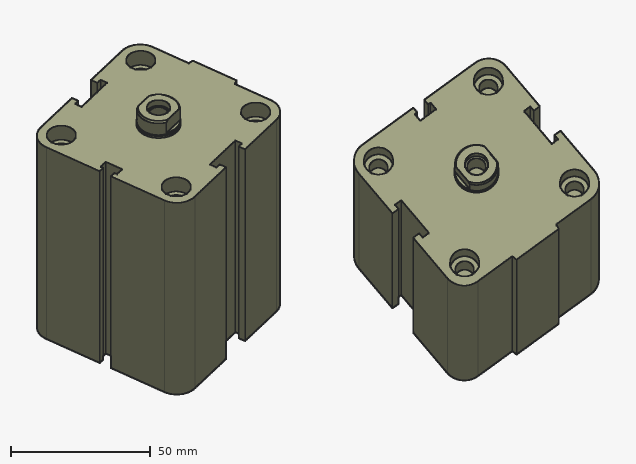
import cadquery as cq

overall_height = 98.0
housing_width = 67.0
housing_height = 90.5
corner_radius = 7.8
half_width = housing_width / 2

overall_depth = 69.0
rib_height = overall_depth - housing_width
rib_base_width = 20.0
rib_top_width = 19.2

side_slot_mouth = 12.0
side_slot_channel = 16.1
side_slot_lip = 2.7
side_slot_depth = 5.6
front_slot_mouth = 4.9
front_slot_channel = 7.2
front_slot_lip = 2.3
front_slot_depth = 5.5

mount_spacing = 50.0
mount_hole_diameter = 6.7
counterbore_diameter = 10.5
counterbore_depth = 6.7
mount_hole_depth = 14.7

rod_diameter = 16.0
rod_seat_depth = 14.7
rod_end_diameter = 15.6
rod_shoulder_height = 0.9
rod_shoulder_taper = 0.4
rod_tip_chamfer_height = 0.8
rod_tip_chamfer_width = 0.5
wrench_flat_width = 12.9
wrench_flat_height = 1.9

rod_hole_diameter = 6.7
rod_hole_depth = 11.8
rod_recess_diameter = 8.3
rod_recess_depth = 2.6

rod_base = housing_height - rod_seat_depth


def cylinder(diameter, bottom, top):
    """Vertical cylinder on the Z axis between two heights."""
    return cq.Workplane("XY").workplane(offset=bottom).circle(diameter / 2).extrude(top - bottom)


def t_slot(mouth, channel, lip, depth, angle):
    """Full-height T-slot cutter in the front (-Y) face, turned about Z by the angle."""
    face = -half_width
    return (
        cq.Workplane("XY")
        .polyline([
            (-mouth / 2, face),
            (-mouth / 2, face + lip),
            (-channel / 2, face + lip),
            (-channel / 2, face + depth),
            (channel / 2, face + depth),
            (channel / 2, face + lip),
            (mouth / 2, face + lip),
            (mouth / 2, face),
        ])
        .close()
        .extrude(housing_height)
        .rotate((0, 0, 0), (0, 0, 1), angle)
    )


def make_rib():
    """Trapezoidal rib that runs the full height of the back face."""
    return (
        cq.Workplane("XY")
        .polyline([
            (-rib_base_width / 2, half_width),
            (rib_base_width / 2, half_width),
            (rib_top_width / 2, half_width + rib_height),
            (-rib_top_width / 2, half_width + rib_height),
        ])
        .close()
        .extrude(housing_height)
    )


def make_housing():
    """Rounded square body with rib, T-slots, mounting holes and rod bore."""
    body = (
        cq.Workplane("XY")
        .rect(housing_width, housing_width)
        .extrude(housing_height)
        .edges("|Z")
        .fillet(corner_radius)
        .union(make_rib())
    )
    body = body.cut(t_slot(front_slot_mouth, front_slot_channel, front_slot_lip, front_slot_depth, 0))
    for angle in (-90, 90):
        body = body.cut(t_slot(side_slot_mouth, side_slot_channel, side_slot_lip, side_slot_depth, angle))
    body = (
        body.cut(cylinder(rod_diameter, rod_base, housing_height))
        .copyWorkplane(cq.Workplane("XY").workplane(offset=housing_height))
        .rect(mount_spacing, mount_spacing, forConstruction=True)
        .vertices()
        .cboreHole(mount_hole_diameter, counterbore_diameter, counterbore_depth, mount_hole_depth)
    )
    return body


def make_rod():
    """Turned rod with a chamfered tip, two wrench flats and a stepped end hole."""
    radius = rod_diameter / 2
    end_radius = rod_end_diameter / 2
    shoulder_top = housing_height + rod_shoulder_height
    rod = (
        cq.Workplane("XZ")
        .polyline([
            (0, rod_base),
            (radius, rod_base),
            (radius, shoulder_top),
            (end_radius, shoulder_top + rod_shoulder_taper),
            (end_radius, overall_height - rod_tip_chamfer_height),
            (end_radius - rod_tip_chamfer_width, overall_height),
            (0, overall_height),
        ])
        .close()
        .revolve(360, (0, 0, 0), (0, 1, 0))
    )

    flat_bottom = housing_height + wrench_flat_height
    flat_cut_center = wrench_flat_width / 2 + radius
    for side in (-1, 1):
        flat_cutter = (
            cq.Workplane("XY")
            .workplane(offset=flat_bottom)
            .center(side * flat_cut_center, 0)
            .rect(rod_diameter, rod_diameter)
            .extrude(overall_height - flat_bottom)
        )
        rod = rod.cut(flat_cutter)

    rod = rod.cut(cylinder(rod_hole_diameter, overall_height - rod_hole_depth, overall_height))
    rod = rod.cut(cylinder(rod_recess_diameter, overall_height - rod_recess_depth, overall_height))
    return rod


housing = make_housing()
rod = make_rod()

result = cq.Compound.makeCompound([housing.val(), rod.val()])